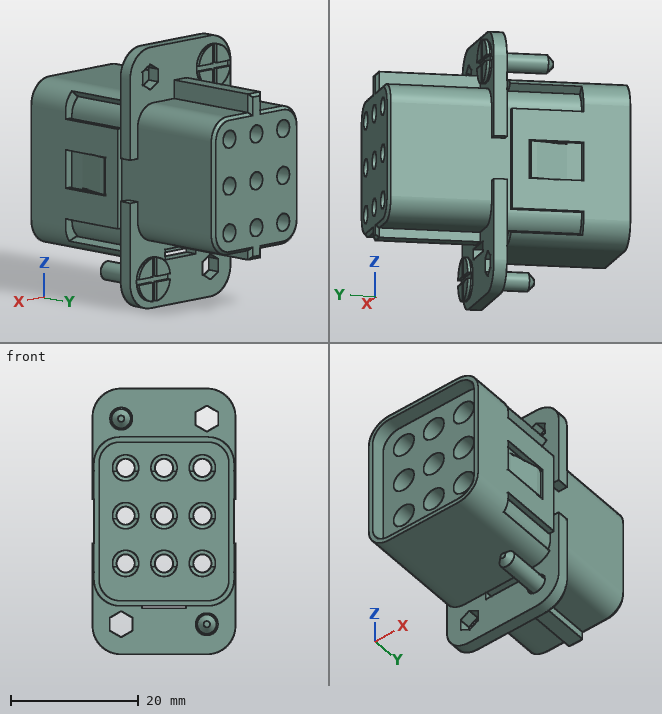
import cadquery as cq
import math

TOTAL_LENGTH = 38.6
RECESS_DEPTH = 2.6
CAVITY_FLOOR_Y = 7.52
SLEEVE_REAR_Y = 18.97
PLATE_FRONT_Y = 19.85
PLATE_THICKNESS = 2.1
PLATE_REAR_Y = PLATE_FRONT_Y + PLATE_THICKNESS

COLUMN_PITCH = 6.0
ROW_PITCH = 7.47
GRID_CENTER_Z = 0.9
CHAMBER_RADIUS = 3.52
HOLE_FRONT_DIAMETER = 4.1
HOLE_REAR_DIAMETER = 2.8
FUNNEL_DROP = 0.5

TOP_ROW_Z = GRID_CENTER_Z + ROW_PITCH
BODY_HALF_WIDTH = COLUMN_PITCH + CHAMBER_RADIUS
BODY_TOP_Z = TOP_ROW_Z + CHAMBER_RADIUS
REAR_BODY_BOTTOM_Z = GRID_CENTER_Z - ROW_PITCH - CHAMBER_RADIUS
RIB_WIDTH = 2.7
TOP_RIB_Z = 14.84
BOTTOM_RIB_Z = -11.6
REAR_CHAMFER = 0.5

SLEEVE_WIDTH = 21.9
SLEEVE_HEIGHT = 26.4
SLEEVE_CORNER_RADIUS = 4.05
SLEEVE_WALL = 0.95
CAVITY_CORNER_RADIUS = 4.6
RECESS_WALL = 0.8

LATCH_HALF_HEIGHT = 7.95
WINDOW_REAR_Y = 16.24
WINDOW_HEIGHT = 6.12
UPPER_SLOT_OUTER = (9.54, 12.27)
UPPER_SLOT_INNER = (8.3, 11.21)
LOWER_SLOT_OUTER = (10.1, -11.61)
LOWER_SLOT_INNER = (8.46, -11.07)
CATCH_HEIGHT = 5.86
CATCH_REAR_Y = 15.87
CATCH_CREST_Y = 14.95
CATCH_FRONT_Y = 9.87
CATCH_PROJECTION = 1.25

PLATE_WIDTH = 22.4
PLATE_HEIGHT = 41.6
PLATE_CORNER_RADIUS = 4.5
PLATE_NOTCH_WIDTH = 6.86
PLATE_SLOT_BOTTOM_Z = -13.54
FASTENER_X = 6.7
FASTENER_Z = 16.07
HEX_ACROSS_FLATS = 3.5

SHANK_DIAMETER = 3.0
CLEARANCE_DIAMETER = 3.5
SCREW_TIP_Y = 11.52
TIP_DIAMETER = 1.0
HEAD_DIAMETER = 7.0
HEAD_RIM_Y = 22.35
HEAD_REAR_Y = 22.88
CROSS_SLOT_WIDTH = 0.9


def box(x_range, y_range, z_range):
    """Axis-aligned box given its three coordinate ranges."""
    sizes = [high - low for low, high in (x_range, y_range, z_range)]
    corner = (x_range[0], y_range[0], z_range[0])
    return cq.Workplane("XY").box(*sizes, centered=False).translate(corner)


def along_y(y):
    """XZ sketch plane at the given Y; extruding from it runs toward +Y."""
    return cq.Workplane(cq.Plane(origin=(0, y, 0), xDir=(1, 0, 0), normal=(0, -1, 0)))


def rounded_block(width, height, radius, y_start, y_end, center_z=0):
    """Rounded rectangle in XZ, extended from y_start to y_end."""
    block = along_y(y_start).center(0, center_z).rect(width, height).extrude(y_start - y_end)
    return block.edges("|Y").fillet(radius)


def cylinder(x, z, diameter, y_start, y_end):
    return along_y(y_start).center(x, z).circle(diameter / 2).extrude(y_start - y_end)


def make_sleeve():
    """Thin shell round the insert, with a shallow front recess and two sprung latch panels."""
    sleeve = rounded_block(SLEEVE_WIDTH, SLEEVE_HEIGHT, SLEEVE_CORNER_RADIUS, 0, SLEEVE_REAR_Y)
    for wall, corner_radius, y_start, y_end in (
        (RECESS_WALL, SLEEVE_CORNER_RADIUS - RECESS_WALL, 0, RECESS_DEPTH),
        (SLEEVE_WALL, CAVITY_CORNER_RADIUS, CAVITY_FLOOR_Y, SLEEVE_REAR_Y),
    ):
        sleeve = sleeve.cut(rounded_block(
            SLEEVE_WIDTH - 2 * wall, SLEEVE_HEIGHT - 2 * wall,
            corner_radius, y_start, y_end))
    for side in (-1, 1):
        for outer, inner in (
            (UPPER_SLOT_OUTER, UPPER_SLOT_INNER),
            (LOWER_SLOT_OUTER, LOWER_SLOT_INNER),
        ):
            sleeve = sleeve.cut(make_latch_slot(side, outer, inner))
        sleeve = sleeve.cut(box(
            sorted((side * BODY_HALF_WIDTH, side * SLEEVE_WIDTH)),
            (CAVITY_FLOOR_Y, WINDOW_REAR_Y),
            (-WINDOW_HEIGHT / 2, WINDOW_HEIGHT / 2)))
    return sleeve


def make_latch_slot(side, outer, inner):
    """Slot beside a latch panel; its far face slants through the rounded sleeve corner."""
    latch_edge_z = math.copysign(LATCH_HALF_HEIGHT, outer[1])
    outline = [
        (side * inner[0], latch_edge_z),
        (side * inner[0], inner[1]),
        (side * outer[0], outer[1]),
        (side * SLEEVE_WIDTH, outer[1]),
        (side * SLEEVE_WIDTH, latch_edge_z),
    ]
    profile = along_y(CAVITY_FLOOR_Y).polyline(outline).close()
    return profile.extrude(CAVITY_FLOOR_Y - SLEEVE_REAR_Y)


def make_catch(side):
    """Wedge on the insert that sits inside a latch window."""
    crest_x = BODY_HALF_WIDTH + CATCH_PROJECTION
    root_x = BODY_HALF_WIDTH - CATCH_PROJECTION
    outline = [
        (side * root_x, CATCH_FRONT_Y),
        (side * BODY_HALF_WIDTH, CATCH_FRONT_Y),
        (side * crest_x, CATCH_CREST_Y),
        (side * crest_x, CATCH_REAR_Y),
        (side * root_x, CATCH_REAR_Y),
    ]
    return cq.Workplane("XY").polyline(outline).close().extrude(CATCH_HEIGHT / 2, both=True)


def make_neck():
    """Three side-by-side lobes running from the sleeve floor through the plate."""
    neck = None
    for column in (-1, 0, 1):
        lobe = (
            along_y(CAVITY_FLOOR_Y)
            .center(column * COLUMN_PITCH, 0)
            .slot2D(2 * BODY_TOP_Z, 2 * CHAMBER_RADIUS, 90)
            .extrude(CAVITY_FLOOR_Y - PLATE_REAR_Y)
        )
        neck = lobe if neck is None else neck.union(lobe)
    for side in (-1, 1):
        neck = neck.union(make_catch(side))
    return neck


def make_rear_body():
    """Rounded block behind the plate with a keying rib on top and one underneath."""
    body = rounded_block(
        2 * BODY_HALF_WIDTH, BODY_TOP_Z - REAR_BODY_BOTTOM_Z, CHAMBER_RADIUS,
        PLATE_REAR_Y, TOTAL_LENGTH, (BODY_TOP_Z + REAR_BODY_BOTTOM_Z) / 2)
    ribs = box(
        (-RIB_WIDTH / 2, RIB_WIDTH / 2), (PLATE_REAR_Y, TOTAL_LENGTH), (BOTTOM_RIB_Z, TOP_RIB_Z))
    return body.union(ribs).faces(">Y").chamfer(REAR_CHAMFER)


def make_plate():
    """Flange with side notches, a bottom slot, two hex holes and two screw clearance holes."""
    plate = rounded_block(PLATE_WIDTH, PLATE_HEIGHT, PLATE_CORNER_RADIUS, PLATE_FRONT_Y, PLATE_REAR_Y)
    half_notch = PLATE_NOTCH_WIDTH / 2
    plate_depth = (PLATE_FRONT_Y, PLATE_REAR_Y)
    for side in (-1, 1):
        plate = plate.cut(box(
            sorted((side * BODY_HALF_WIDTH, side * PLATE_WIDTH)), plate_depth,
            (-half_notch, half_notch)))
        hex_hole = (
            along_y(PLATE_FRONT_Y)
            .center(side * FASTENER_X, side * FASTENER_Z)
            .transformed(rotate=(0, 0, 90))
            .polygon(6, HEX_ACROSS_FLATS / math.cos(math.pi / 6))
            .extrude(-PLATE_THICKNESS)
        )
        plate = plate.cut(hex_hole)
        plate = plate.cut(cylinder(
            -side * FASTENER_X, side * FASTENER_Z, CLEARANCE_DIAMETER, *plate_depth))
    return plate.cut(box((-half_notch, half_notch), plate_depth, (PLATE_SLOT_BOTTOM_Z, -BODY_TOP_Z)))


def make_screw(x, z):
    """Screw pointing forward, its cross-slotted conical head sunk into the back of the plate."""
    shank_radius = SHANK_DIAMETER / 2
    tip_radius = TIP_DIAMETER / 2
    head_radius = HEAD_DIAMETER / 2
    profile = [
        (0, SCREW_TIP_Y),
        (tip_radius, SCREW_TIP_Y),
        (shank_radius, SCREW_TIP_Y + shank_radius - tip_radius),
        (shank_radius, HEAD_RIM_Y - head_radius + shank_radius),
        (head_radius, HEAD_RIM_Y),
        (head_radius, HEAD_REAR_Y),
        (0, HEAD_REAR_Y),
    ]
    screw = cq.Workplane("XY").polyline(profile).close().revolve(360, (0, 0), (0, 1))
    across = (-head_radius, head_radius)
    slot = (-CROSS_SLOT_WIDTH / 2, CROSS_SLOT_WIDTH / 2)
    depth = (HEAD_RIM_Y, HEAD_REAR_Y)
    screw = screw.cut(box(across, depth, slot)).cut(box(slot, depth, across))
    return screw.translate((x, 0, z))


def make_contact_hole(x, z):
    """Stepped through-hole whose step is funnelled along its lower side."""
    front_radius = HOLE_FRONT_DIAMETER / 2
    rear_radius = HOLE_REAR_DIAMETER / 2
    funnel_depth = front_radius - rear_radius
    funnel = along_y(PLATE_FRONT_Y).circle(front_radius).workplane(offset=-funnel_depth)
    funnel = funnel.circle(rear_radius).loft(ruled=True)
    lower_side = box(
        (-front_radius, front_radius),
        (PLATE_FRONT_Y, PLATE_FRONT_Y + funnel_depth),
        (-front_radius, -FUNNEL_DROP))
    funnel = funnel.intersect(lower_side).translate((x, 0, z))
    front_bore = cylinder(x, z, HOLE_FRONT_DIAMETER, 0, PLATE_FRONT_Y)
    rear_bore = cylinder(x, z, HOLE_REAR_DIAMETER, PLATE_FRONT_Y, TOTAL_LENGTH)
    return front_bore.union(rear_bore).union(funnel)


def make_contact_holes():
    """Contact holes on a three by three grid."""
    holes = None
    for column in (-1, 0, 1):
        for row in (-1, 0, 1):
            x = column * COLUMN_PITCH
            z = GRID_CENTER_Z + row * ROW_PITCH
            hole = make_contact_hole(x, z)
            holes = hole if holes is None else holes.union(hole)
    return holes


result = make_sleeve().union(make_neck()).union(make_plate()).union(make_rear_body())
result = result.cut(make_contact_holes())
for side in (-1, 1):
    result = result.union(make_screw(-side * FASTENER_X, side * FASTENER_Z))